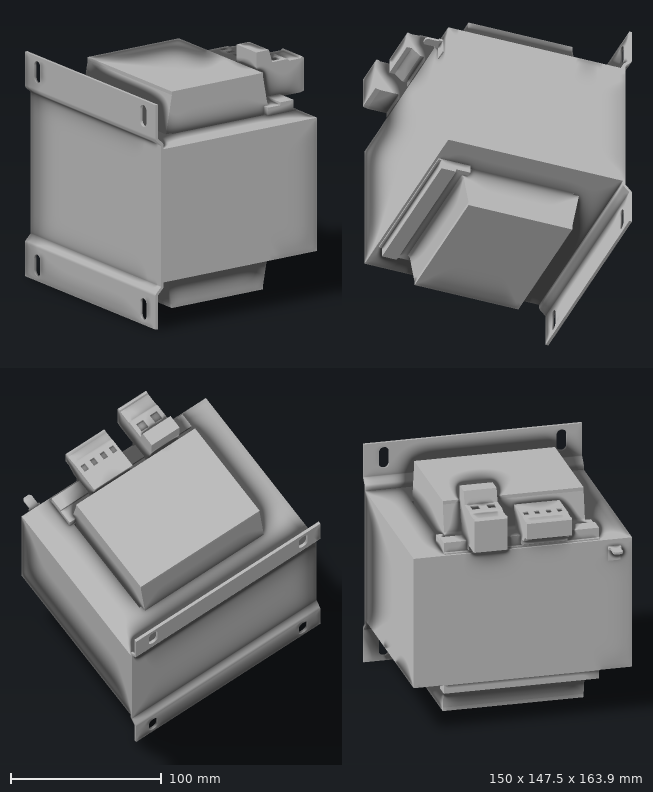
import cadquery as cq
import math


WIDTH = 150.0
BRACKET_HEIGHT = 155.7
MID_Z = BRACKET_HEIGHT / 2
SHEET = 2.0
BRACKET_DEPTH = 6.5
BEND_ANGLE = 45.0
BEND_Z = 131.5
INNER_BEND = 0.8
OUTER_BEND = INNER_BEND + SHEET
SLOT_WIDTH = 7.0
SLOT_LENGTH = 15.0
SLOT_SPACING_X = 122.0
SLOT_SPACING_Z = 134.0

CORE_HEIGHT = 92.5
CORE_TOP = MID_Z + CORE_HEIGHT / 2
CORE_BACK = 131.3
WINDOW_BACK = 106.4
WINDOW_FRONT = 31.5
WINDOW_WIDTH = 100.0

COIL_WIDTH = 96.7
COIL_TOP = 153.0
COIL_SHOULDER = 150.5
COIL_FRONT = 32.1
COIL_BACK = 106.2
COIL_FLARE = 4.8
TOE_TOP = 131.5
TOE_BACK = 111.1
TOE_BLEND = 2.5

RAIL_WIDTH = 106.5
RAIL_FRONT = 106.9
RAIL_STEP = 117.0
RAIL_BACK = 127.5
RAIL_LOW = 129.8
RAIL_HIGH = 131.8
LEDGE_BACK = 129.6
LEDGE_TOP = 125.0

SMALL_BLOCK_LEFT = -30.6
SMALL_BLOCK_WIDTH = 15.5
SMALL_BLOCK_COUNT = 2
SMALL_TOP = 147.2
SMALL_FRONT = 110.3
SMALL_STEM_FRONT = 113.6
SMALL_BACK = 143.2
SMALL_BACK_BOTTOM = 134.7
SMALL_LIP_TOP = 146.9
SMALL_HOLE = (3.6, 5.0)
SMALL_HOLE_OFFSETS = (4.3, 11.8)
LARGE_BLOCK_LEFT = 14.8
LARGE_BLOCK_WIDTH = 22.6
LARGE_TOP = 154.9
LARGE_FRONT = 108.5
LARGE_STEM_FRONT = 113.1
LARGE_BACK = 147.5
LARGE_SHELF = 153.5
LARGE_LIP_TOP = 154.4
OVERALL_HEIGHT = 163.9
LARGE_HOLE = (5.7, 6.4)
LARGE_HOLE_OFFSETS = (5.7, 16.9)
HOLE_Y = 127.4
HOLE_DEPTH = 2.5
FOOT_BOTTOM = 126.2
FOOT_BACK = 130.8
BODY_BOTTOM = 130.0

TAB_X = -62.6
TAB_TOP = 119.3
TAB_THICKNESS = 1.5
TAB_BASE_WIDTH = 8.7
TAB_WIDTH = 6.5
TAB_SHOULDER = 134.7
TAB_TIP = 143.4
TAB_TIP_CHAMFER = 1.3
TAB_PLATE_HEIGHT = 10.0
TAB_PLATE_THICKNESS = 0.8


def extrude_along_x(points, left, width):
    """Solid of the (Y, Z) outline, running from X = left over the width."""
    return cq.Workplane("YZ").workplane(offset=left).polyline(points).close().extrude(width)


def box(x_range, y_range, z_range):
    """Box between two limits on each axis."""
    size = [high - low for low, high in (x_range, y_range, z_range)]
    corner = (x_range[0], y_range[0], z_range[0])
    return cq.Workplane("XY").box(*size, centered=False).translate(corner)


def add_mirrored(body):
    """The body together with its mirror image below MID_Z."""
    return body.union(body.mirror("XY", (0, 0, MID_Z)))


def make_bracket():
    """Bent sheet: a plate behind the core and two slotted feet."""
    plate_front = BRACKET_DEPTH - SHEET
    plate_bend_z = BEND_Z - plate_front / math.tan(math.radians(BEND_ANGLE))
    inner_shift = SHEET * math.tan(math.radians(BEND_ANGLE / 2))
    outline = [
        (plate_front, MID_Z),
        (plate_front, plate_bend_z),
        (0, BEND_Z),
        (0, BRACKET_HEIGHT),
        (SHEET, BRACKET_HEIGHT),
        (SHEET, BEND_Z + inner_shift),
        (BRACKET_DEPTH, plate_bend_z + inner_shift),
        (BRACKET_DEPTH, MID_Z),
    ]
    half = extrude_along_x(outline, -WIDTH / 2, WIDTH)
    bends = (
        (1, INNER_BEND),
        (2, OUTER_BEND),
        (5, INNER_BEND),
        (6, OUTER_BEND),
    )
    for corner, radius in bends:
        y, z = outline[corner]
        bend_edge = cq.selectors.NearestToPointSelector((0, y, z))
        half = half.edges(bend_edge).fillet(radius)
    slots = (
        cq.Workplane("XZ", origin=(0, 0, MID_Z))
        .rarray(SLOT_SPACING_X, SLOT_SPACING_Z, 2, 2)
        .slot2D(SLOT_LENGTH, SLOT_WIDTH, 90)
        .extrude(SHEET, both=True)
    )
    return add_mirrored(half).cut(slots)


def make_core():
    """Lamination stack with the coil window through its height."""
    z_range = (CORE_TOP - CORE_HEIGHT, CORE_TOP)
    core = box((-WIDTH / 2, WIDTH / 2), (BRACKET_DEPTH, CORE_BACK), z_range)
    window = box((-WINDOW_WIDTH / 2, WINDOW_WIDTH / 2), (WINDOW_FRONT, WINDOW_BACK), z_range)
    return core.cut(window)


def make_coil():
    """Coil filling the window front to back, flared towards the core."""
    flare_rate = COIL_FLARE / (COIL_SHOULDER - CORE_TOP)
    toe_start = COIL_BACK + flare_rate * (COIL_SHOULDER - TOE_TOP)
    head = [
        (COIL_FRONT - COIL_FLARE, CORE_TOP),
        (COIL_FRONT, COIL_SHOULDER),
        (COIL_FRONT, COIL_TOP),
        (COIL_BACK, COIL_TOP),
        (COIL_BACK, COIL_SHOULDER),
        (toe_start, TOE_TOP),
        (TOE_BACK, RAIL_LOW),
        (TOE_BACK, CORE_TOP),
    ]
    top_head = extrude_along_x(head, -COIL_WIDTH / 2, COIL_WIDTH)
    toe_corner = cq.selectors.NearestToPointSelector((0, toe_start, TOE_TOP))
    top_head = top_head.edges(toe_corner).fillet(TOE_BLEND)
    heads = add_mirrored(top_head)
    winding = box(
        (-COIL_WIDTH / 2, COIL_WIDTH / 2),
        (WINDOW_FRONT, WINDOW_BACK),
        (CORE_TOP - CORE_HEIGHT, CORE_TOP),
    )
    return heads.union(winding)


def make_rails():
    """Stepped rails on the top and bottom of the core."""
    outline = [
        (RAIL_FRONT, CORE_TOP),
        (RAIL_FRONT, RAIL_LOW),
        (RAIL_STEP, RAIL_LOW),
        (RAIL_STEP, RAIL_HIGH),
        (RAIL_BACK, RAIL_HIGH),
        (RAIL_BACK, LEDGE_TOP),
        (LEDGE_BACK, LEDGE_TOP),
        (LEDGE_BACK, CORE_TOP),
    ]
    return add_mirrored(extrude_along_x(outline, -RAIL_WIDTH / 2, RAIL_WIDTH))


def wire_holes(left, offsets, size, top):
    """Rectangular pockets sunk from the top face of a terminal block."""
    centers = [(left + offset, HOLE_Y) for offset in offsets]
    return cq.Workplane("XY").workplane(offset=top).pushPoints(centers).rect(*size).extrude(-HOLE_DEPTH)


def block_foot():
    """Outline points of the foot that seats a terminal block on the rail."""
    return [
        (FOOT_BACK, BODY_BOTTOM),
        (FOOT_BACK, FOOT_BOTTOM),
        (RAIL_STEP, FOOT_BOTTOM),
        (RAIL_STEP, RAIL_LOW),
    ]


def make_small_block(left):
    """Stepped block with a shallow lip along its top back edge."""
    outline = [
        (SMALL_STEM_FRONT, RAIL_LOW),
        (SMALL_STEM_FRONT, 137.7),
        (110.6, 143.0),
        (SMALL_FRONT, SMALL_TOP),
        (133.3, SMALL_TOP),
        (134.7, 146.5),
        (140.3, 146.2),
        (142.0, SMALL_LIP_TOP),
        (142.6, SMALL_LIP_TOP),
        (SMALL_BACK, 145.9),
        (SMALL_BACK, SMALL_BACK_BOTTOM),
        (139.5, SMALL_BACK_BOTTOM),
        (133.7, BODY_BOTTOM),
    ] + block_foot()
    block = extrude_along_x(outline, left, SMALL_BLOCK_WIDTH)
    return block.cut(wire_holes(left, SMALL_HOLE_OFFSETS, SMALL_HOLE, SMALL_TOP))


def make_large_block():
    """Block with a raised front, a lower shelf and a lip at its back."""
    outline = [
        (LARGE_STEM_FRONT, RAIL_LOW),
        (LARGE_STEM_FRONT, 138.0),
        (110.5, 143.0),
        (110.1, 147.2),
        (LARGE_FRONT, LARGE_SHELF),
        (LARGE_FRONT, OVERALL_HEIGHT),
        (118.8, OVERALL_HEIGHT),
        (121.5, LARGE_TOP),
        (133.9, LARGE_TOP),
        (135.4, LARGE_SHELF),
        (144.4, LARGE_SHELF),
        (145.2, LARGE_LIP_TOP),
        (146.5, LARGE_LIP_TOP),
        (LARGE_BACK, 153.1),
        (LARGE_BACK, 130.8),
        (144.2, BODY_BOTTOM),
    ] + block_foot()
    block = extrude_along_x(outline, LARGE_BLOCK_LEFT, LARGE_BLOCK_WIDTH)
    holes = wire_holes(LARGE_BLOCK_LEFT, LARGE_HOLE_OFFSETS, LARGE_HOLE, LARGE_TOP)
    return block.cut(holes)


def make_earth_tab():
    """Flat tab standing out from a small plate on the back of the core."""
    tab_bottom = TAB_TOP - TAB_THICKNESS
    base = box(
        (TAB_X - TAB_BASE_WIDTH / 2, TAB_X + TAB_BASE_WIDTH / 2),
        (CORE_BACK, TAB_SHOULDER),
        (tab_bottom, TAB_TOP),
    )
    blade = box(
        (TAB_X - TAB_WIDTH / 2, TAB_X + TAB_WIDTH / 2),
        (CORE_BACK, TAB_TIP),
        (tab_bottom, TAB_TOP),
    )
    blade = blade.faces(">Y").edges("|Z").chamfer(TAB_TIP_CHAMFER)
    plate = box(
        (TAB_X - TAB_BASE_WIDTH / 2, TAB_X + TAB_BASE_WIDTH / 2),
        (CORE_BACK, CORE_BACK + TAB_PLATE_THICKNESS),
        (TAB_TOP - TAB_PLATE_HEIGHT, TAB_TOP),
    )
    return plate.union(base).union(blade)


result = make_core().union(make_bracket()).union(make_coil()).union(make_rails())
for index in range(SMALL_BLOCK_COUNT):
    block_left = SMALL_BLOCK_LEFT + index * SMALL_BLOCK_WIDTH
    result = result.union(make_small_block(block_left))
result = result.union(make_large_block()).union(make_earth_tab())